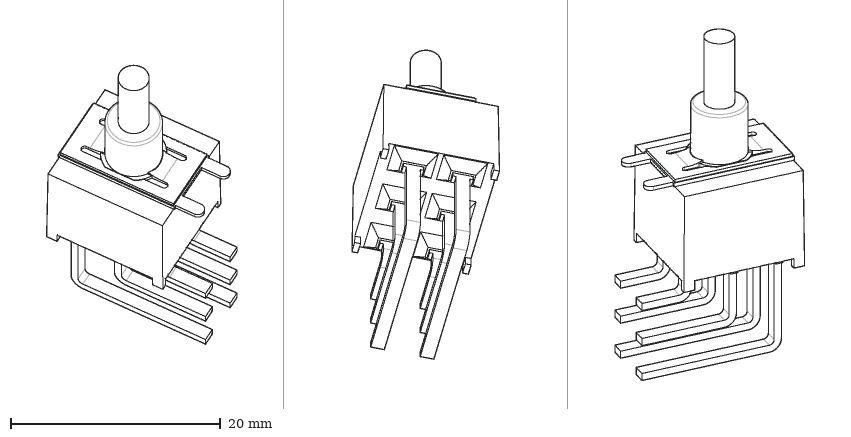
import cadquery as cq
import math

total_height = 33.7
bushing_top = 26.6
seat_top = 21.25
cover_top = 21.2
flange_top = 20.9
housing_top = 20.5
housing_floor = 11.15
foot_bottom = 10.15
collar_bottom = 9.65

housing_length = 12.67
housing_width = 11.42
housing_draft = 0.1
foot_length = 1.15
foot_width = 0.57

flange_length = 12.67
flange_width = 6.8
cover_length = 12.35
cover_width = 6.6
tab_tip_x = 9.03
tab_width = 1.3
tab_spacing = 5.05

seat_diameter = 6.35
strip_hole_diameter = 5.6
slot_length = 9.37
slot_width = 0.67
slot_spacing = 3.65
strip_start_x = 3.95
strip_bend_radius = 3.7

plunger_diameter = 2.95
bushing_diameter = 5.5
bushing_fillet = 0.25

column_count = 3
column_pitch = 4.72
row_pitch = 4.85
terminal_end_x = 9.55
terminal_thickness = 0.78
terminal_width = 1.35
terminal_drop = 3.8
bend_outer_radius = 1.28
collar_width = 2.02

pedestal_base = (3.0, 4.3)
pedestal_tip = (1.2, 2.43)


def box(length, width, bottom, top, x=0, y=0):
    """Block centred on (x, y) between two heights."""
    return cq.Workplane("XY", origin=(x, y, bottom)).rect(length, width).extrude(top - bottom)


def cylinder(diameter, bottom, top):
    """Upright cylinder on the plunger axis."""
    return cq.Workplane("XY", origin=(0, 0, bottom)).circle(diameter / 2).extrude(top - bottom)


def make_housing():
    """Drafted block standing on four corner feet."""
    height = housing_top - foot_bottom
    draft_angle = math.degrees(math.atan(housing_draft / height))
    block = (
        cq.Workplane("XY", origin=(0, 0, foot_bottom))
        .rect(housing_length, housing_width)
        .extrude(height, taper=draft_angle)
    )
    gap_along_x = box(housing_length - 2 * foot_length, housing_width, foot_bottom, housing_floor)
    gap_along_y = box(housing_length, housing_width - 2 * foot_width, foot_bottom, housing_floor)
    return block.cut(gap_along_x).cut(gap_along_y)


def make_flange():
    """Plate over the housing with two round-ended tabs on its +X side."""
    flange = box(flange_length, flange_width, housing_top, flange_top)
    for side in (-1, 1):
        tab = (
            cq.Workplane("XY", origin=(tab_tip_x / 2, side * tab_spacing / 2, housing_top))
            .slot2D(tab_tip_x, tab_width)
            .extrude(flange_top - housing_top)
        )
        flange = flange.union(tab)
    return flange


def make_strips():
    """Two strips between the slots, curving up from the cover to a round hole for the bushing."""
    strip_width = slot_spacing - slot_width
    blank_top = cover_top + strip_bend_radius
    strips = box(2 * strip_start_x, strip_width, flange_top, blank_top)
    for side in (-1, 1):
        hollow = (
            cq.Workplane("XZ", origin=(side * strip_start_x, strip_width / 2, blank_top))
            .circle(strip_bend_radius)
            .extrude(strip_width)
        )
        strips = strips.cut(hollow)
    return strips.cut(cylinder(strip_hole_diameter, flange_top, blank_top))


def make_cover():
    """Cover plate with two slots and the bent strips."""
    slots = (
        cq.Workplane("XY", origin=(0, 0, flange_top))
        .rarray(0.35, slot_spacing, 1, 2)
        .slot2D(slot_length, slot_width)
        .extrude(cover_top - flange_top)
    )
    return box(cover_length, cover_width, flange_top, cover_top).cut(slots).union(make_strips())


def make_seat():
    """Round seat around the bushing, with flats on its -Y and +Y sides."""
    disc = cylinder(seat_diameter, flange_top, seat_top)
    return disc.intersect(box(seat_diameter, bushing_diameter, flange_top, seat_top))


def make_plunger():
    """Bushing with a rounded rim, and the plunger standing out of it."""
    bushing = cylinder(bushing_diameter, flange_top, bushing_top)
    bushing = bushing.faces(">Z").edges().fillet(bushing_fillet)
    return bushing.union(cylinder(plunger_diameter, flange_top, total_height))


def make_terminal(x, y, bottom):
    """Pedestal, collar and a flat pin bent through a right angle towards +X."""
    pedestal = (
        cq.Workplane("XY", origin=(x, y, foot_bottom))
        .rect(*pedestal_tip)
        .workplane(offset=housing_floor - foot_bottom)
        .rect(*pedestal_base)
        .loft()
    )
    collar = box(terminal_thickness, collar_width, collar_bottom, foot_bottom, x, y)
    outer_x = x - terminal_thickness / 2
    bend_inner_radius = bend_outer_radius - terminal_thickness
    pin = (
        cq.Workplane("XZ", origin=(0, y + terminal_width / 2, 0))
        .moveTo(outer_x, foot_bottom)
        .lineTo(outer_x, bottom + bend_outer_radius)
        .radiusArc((outer_x + bend_outer_radius, bottom), -bend_outer_radius)
        .lineTo(terminal_end_x, bottom)
        .lineTo(terminal_end_x, bottom + terminal_thickness)
        .lineTo(outer_x + bend_outer_radius, bottom + terminal_thickness)
        .radiusArc((outer_x + terminal_thickness, bottom + bend_outer_radius), bend_inner_radius)
        .lineTo(outer_x + terminal_thickness, foot_bottom)
        .close()
        .extrude(terminal_width)
    )
    return pedestal.union(collar).union(pin)


result = (
    make_housing()
    .union(make_flange())
    .union(make_cover())
    .union(make_seat())
    .union(make_plunger())
)
for column in range(column_count):
    for side in (-1, 1):
        column_x = (column - (column_count - 1) / 2) * column_pitch
        result = result.union(make_terminal(column_x, side * row_pitch / 2, column * terminal_drop))